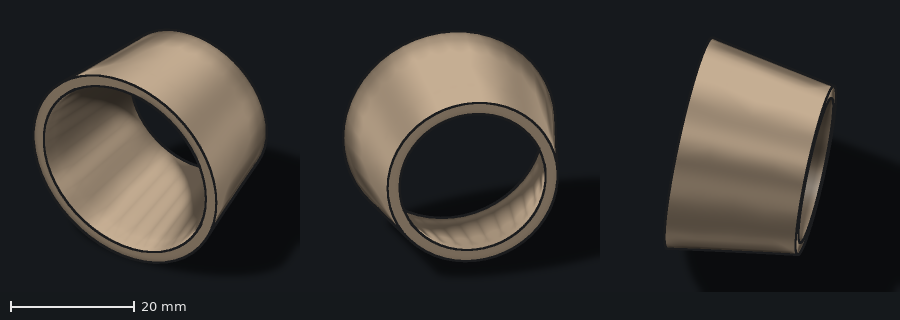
import cadquery as cq

length = 21.0
large_diameter = 35.0
small_diameter = 28.0
wall = 2.0

large_radius = large_diameter / 2
small_radius = small_diameter / 2

wall_section = [
    (large_radius - wall, 0),
    (large_radius, 0),
    (small_radius, length),
    (small_radius - wall, length),
]

result = (
    cq.Workplane("XY")
    .polyline(wall_section)
    .close()
    .revolve(360, (0, 0, 0), (0, 1, 0))
)